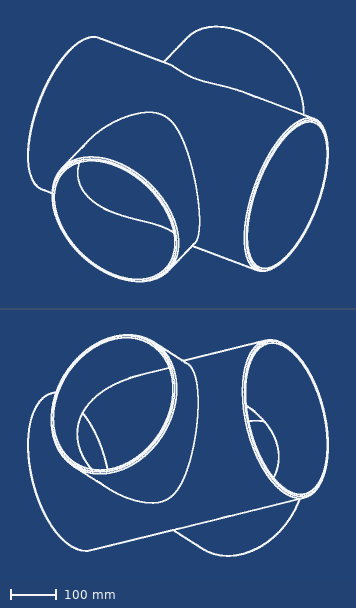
import cadquery as cq

run_length = 559.0
run_diameter = 355.5
branch_length = 539.0
branch_diameter = 324.0
wall = 8.0
end_bevel = 3.5


def centred_cylinder(plane, diameter, length):
    return cq.Workplane(plane).circle(diameter / 2).extrude(length / 2, both=True)


def bevelled_cylinder(plane, diameter, length):
    """Solid pipe envelope with a weld bevel on the outer edge of both ends."""
    radius = diameter / 2
    half_length = length / 2
    profile = [
        (0, -half_length),
        (radius - end_bevel, -half_length),
        (radius, end_bevel - half_length),
        (radius, half_length - end_bevel),
        (radius - end_bevel, half_length),
        (0, half_length),
    ]
    envelope = cq.Workplane("XY").polyline(profile).close().revolve(360, (0, 0, 0), (0, 1, 0))
    if plane == "YZ":
        envelope = envelope.rotate((0, 0, 0), (0, 0, 1), 90)
    return envelope


outer = bevelled_cylinder("YZ", run_diameter, run_length).union(
    bevelled_cylinder("XZ", branch_diameter, branch_length)
)
run_bore = centred_cylinder("YZ", run_diameter - 2 * wall, run_length)
branch_bore = centred_cylinder("XZ", branch_diameter - 2 * wall, branch_length)

result = outer.cut(run_bore).cut(branch_bore)